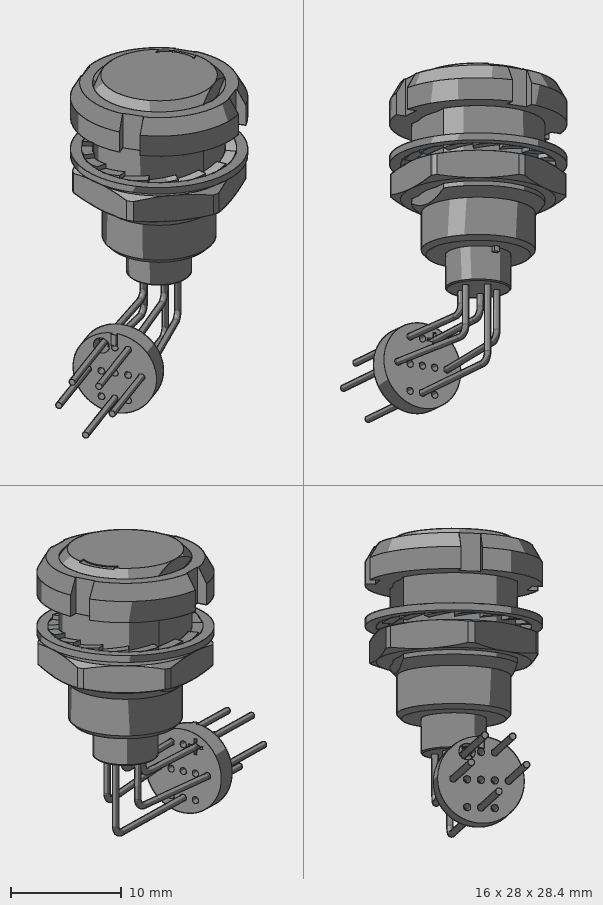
import cadquery as cq
import math


TOTAL_HEIGHT = 28.35
TOTAL_LENGTH = 28.0
MAX_DIA = 16.0

THREAD_DIA = 12.02
THREAD_MINOR_DIA = 11.0
FLAT_WIDTH = 10.5
TOP_CHAMFER = (THREAD_DIA - FLAT_WIDTH) / 2
THREAD_END_Z = -11.7
BODY_DIA = 10.3
BODY_END_Z = -16.5
BODY_CHAMFER = 0.43
SOCKET_DIA = 5.9
SOCKET_END_Z = -19.72
SOCKET_CHAMFER = 0.1
TOP_NOTCH_WIDTH = 3.6
TOP_NOTCH_RADIUS = 3.03
TOP_NOTCH_INNER_Y = 4.93
TOP_NOTCH_DEPTH = 0.1
SOCKET_KEY_REACH = 3.4
SOCKET_KEY_HEIGHT = 0.5
KEY_WIDTH = 0.5

RING_TOP_Z = -TOP_CHAMFER
RING_BOTTOM_Z = -4.22
RING_TOP_DIA = 14.35
RING_CHAMFER_HEIGHT = 1.45
RING_SLOT_WIDTH = 1.98
RING_SLOT_FLOOR_RADIUS = 7.0

WASHER_TOP_Z = -7.37
WASHER_THICKNESS = 0.65
TOOTH_OUTER_DIA = 14.0
TOOTH_COUNT = 16
TOOTH_RISE = 0.213

NUT_TOP_Z = -8.7
NUT_BOTTOM_Z = -11.28
NUT_ACROSS_FLATS = 14.0
NUT_CORNER_DIA = 15.8
NUT_CHAMFER_DROP = 0.3

DISC_DIA = 8.0
DISC_BACK_Y = -10.12
DISC_THICKNESS = 1.93
DISC_CENTRE_Z = DISC_DIA / 2 - TOTAL_HEIGHT
HOLE_DIA = 0.65
HOLE_PITCH_X = 1.28
HOLE_PITCH_Z = 2.55
DISC_KEY_HEIGHT = 0.3
MARK_DIA = 1.5
MARK_FLOOR = 0.5
MARK_SLOT_WIDTH = 0.28

CONTACT_DIA = 0.6
CONTACT_CIRCLE_RADIUS = 1.7
CONTACT_COUNT = 5
BEND_RADIUS = 0.9
CONTACT_STRAIGHT_Y = DISC_BACK_Y + 0.23
CONTACT_TIP_Y = MAX_DIA / 2 - TOTAL_LENGTH


def cylinder(diameter, top_z, bottom_z):
    """Cylinder on the connector axis."""
    return cq.Workplane("XY").workplane(offset=bottom_z).circle(diameter / 2).extrude(top_z - bottom_z)


def turned(points):
    """Solid of revolution about Z from (radius, z) points."""
    return cq.Workplane("XZ").polyline(points).close().revolve(360, (0, 0), (0, 1))


def make_envelope():
    """Threaded part of the housing with its two flats; the nuts fit around it."""
    radius = THREAD_DIA / 2
    body_radius = BODY_DIA / 2
    cone_end_z = THREAD_END_Z - (radius - body_radius)
    profile = turned([
        (0, 0),
        (radius - TOP_CHAMFER, 0),
        (radius, -TOP_CHAMFER),
        (radius, THREAD_END_Z),
        (body_radius, cone_end_z),
        (0, cone_end_z),
    ])
    flats = cq.Workplane("XY").box(FLAT_WIDTH, 2 * THREAD_DIA, 2 * TOTAL_HEIGHT)
    return profile.intersect(flats)


def make_top_notch():
    """Shallow recess at the +Y edge of the top face, with a curved inner side."""
    arc_centre_y = TOP_NOTCH_INNER_Y - TOP_NOTCH_RADIUS
    block = (
        cq.Workplane("XY").center(0, arc_centre_y + THREAD_DIA / 2)
        .rect(TOP_NOTCH_WIDTH, THREAD_DIA).extrude(-TOP_NOTCH_DEPTH)
    )
    core = cq.Workplane("XY").center(0, arc_centre_y).circle(TOP_NOTCH_RADIUS).extrude(-TOP_NOTCH_DEPTH)
    return block.cut(core)


def make_contact(start, hole):
    """Bent round contact from `start` (x, y) under the socket to the guide disc hole at `hole` (x, z)."""
    start_x, start_y = start
    hole_x, hole_z = hole
    run_x = hole_x - start_x
    run_y = CONTACT_STRAIGHT_Y - start_y
    run = math.hypot(run_x, run_y)
    heading = cq.Vector(run_x / run, run_y / run, 0)
    down = cq.Vector(0, 0, -1)
    corner = cq.Vector(start_x, start_y, hole_z)
    bend_start = corner - down * BEND_RADIUS
    bend_end = corner + heading * BEND_RADIUS
    bend_middle = corner + (heading - down) * (BEND_RADIUS * (1 - math.sqrt(0.5)))
    kink = cq.Vector(hole_x, CONTACT_STRAIGHT_Y, hole_z)
    tip = cq.Vector(hole_x, CONTACT_TIP_Y, hole_z)
    path = cq.Wire.assembleEdges([
        cq.Edge.makeLine(cq.Vector(start_x, start_y, SOCKET_END_Z), bend_start),
        cq.Edge.makeThreePointArc(bend_start, bend_middle, bend_end),
        cq.Edge.makeLine(bend_end, kink),
        cq.Edge.makeLine(kink, tip),
    ])
    return (
        cq.Workplane("XY", origin=(start_x, start_y, SOCKET_END_Z))
        .circle(CONTACT_DIA / 2).sweep(cq.Workplane(path), transition="right")
    )


def contact_holes():
    """Guide disc hole (x, z) of each contact, anticlockwise from the +Y contact."""
    upper_z = DISC_CENTRE_Z + HOLE_PITCH_Z
    lower_z = DISC_CENTRE_Z - HOLE_PITCH_Z
    return [
        (0, lower_z),
        (-2 * HOLE_PITCH_X, DISC_CENTRE_Z),
        (-HOLE_PITCH_X, upper_z),
        (HOLE_PITCH_X, upper_z),
        (2 * HOLE_PITCH_X, DISC_CENTRE_Z),
    ]


def make_housing(envelope):
    """Housing with its socket and the contacts that are fixed in it."""
    body = cylinder(BODY_DIA, THREAD_END_Z, BODY_END_Z).faces("<Z").chamfer(BODY_CHAMFER)
    socket = cylinder(SOCKET_DIA, BODY_END_Z, SOCKET_END_Z).faces("<Z").chamfer(SOCKET_CHAMFER)
    key = (
        cq.Workplane("XY").workplane(offset=BODY_END_Z)
        .center(0, SOCKET_KEY_REACH / 2).rect(KEY_WIDTH, SOCKET_KEY_REACH).extrude(-SOCKET_KEY_HEIGHT)
    )
    housing = envelope.cut(make_top_notch()).union(body).union(socket).union(key)
    for index, hole in enumerate(contact_holes()):
        angle = math.pi / 2 + index * 2 * math.pi / CONTACT_COUNT
        start = (CONTACT_CIRCLE_RADIUS * math.cos(angle), CONTACT_CIRCLE_RADIUS * math.sin(angle))
        housing = housing.union(make_contact(start, hole))
    return housing


def make_ring_nut(envelope):
    """Round nut with a conical top edge and four wrench slots; its thread fills that of the housing."""
    minor_radius = THREAD_MINOR_DIA / 2
    thread_depth = THREAD_DIA / 2 - minor_radius
    ring = turned([
        (THREAD_DIA / 2, RING_TOP_Z),
        (RING_TOP_DIA / 2, RING_TOP_Z),
        (MAX_DIA / 2, RING_TOP_Z - RING_CHAMFER_HEIGHT),
        (MAX_DIA / 2, RING_BOTTOM_Z),
        (minor_radius, RING_BOTTOM_Z),
        (minor_radius, RING_TOP_Z - thread_depth),
    ])
    slot = (
        cq.Workplane("XY").workplane(offset=RING_BOTTOM_Z)
        .center(RING_SLOT_FLOOR_RADIUS + MAX_DIA / 2, 0)
        .rect(MAX_DIA, RING_SLOT_WIDTH).extrude(RING_TOP_Z - RING_BOTTOM_Z)
    )
    for quarter in range(4):
        ring = ring.cut(slot.rotate((0, 0, 0), (0, 0, 1), 90 * quarter))
    return ring.cut(envelope)


def make_tooth():
    """Washer tooth at +X: a tilted plate that rises anticlockwise, narrowing towards the axis."""
    half = WASHER_THICKNESS / 2
    slope = math.tan(math.pi / TOOTH_COUNT)

    def section(radius):
        side = radius * slope
        points = [
            (-side, -half - TOOTH_RISE),
            (side, -half + TOOTH_RISE),
            (side, half + TOOTH_RISE),
            (-side, half - TOOTH_RISE),
        ]
        return cq.Wire.makePolygon([cq.Vector(radius, y, z) for y, z in points], close=True)

    return cq.Workplane(cq.Solid.makeLoft([section(THREAD_DIA / 4), section(MAX_DIA / 2)], True))


def make_lock_washer():
    """Flat ring with sawtooth teeth along its inner edge."""
    half = WASHER_THICKNESS / 2
    middle_z = WASHER_TOP_Z - half
    tooth_top = half + TOOTH_RISE
    tooth_zone = cylinder(TOOTH_OUTER_DIA, tooth_top, -tooth_top).cut(
        cylinder(THREAD_DIA, tooth_top, -tooth_top)
    )
    tooth = make_tooth().intersect(tooth_zone)
    washer = cylinder(MAX_DIA, half, -half).cut(cylinder(TOOTH_OUTER_DIA, half, -half))
    for index in range(TOOTH_COUNT):
        angle = 360 * index / TOOTH_COUNT
        washer = washer.union(tooth.rotate((0, 0, 0), (0, 0, 1), angle))
    return washer.translate((0, 0, middle_z))


def make_hex_nut(envelope):
    """Hex nut with turned corners, chamfered on both faces; its thread fills that of the housing."""
    hexagon = (
        cq.Workplane("XY").workplane(offset=NUT_BOTTOM_Z)
        .polygon(6, NUT_ACROSS_FLATS / math.cos(math.pi / 6)).extrude(NUT_TOP_Z - NUT_BOTTOM_Z)
        .rotate((0, 0, 0), (0, 0, 1), 30)
    )
    corners = turned([
        (THREAD_MINOR_DIA / 2, NUT_TOP_Z),
        (NUT_ACROSS_FLATS / 2, NUT_TOP_Z),
        (NUT_CORNER_DIA / 2, NUT_TOP_Z - NUT_CHAMFER_DROP),
        (NUT_CORNER_DIA / 2, NUT_BOTTOM_Z + NUT_CHAMFER_DROP),
        (NUT_ACROSS_FLATS / 2, NUT_BOTTOM_Z),
        (THREAD_MINOR_DIA / 2, NUT_BOTTOM_Z),
    ])
    return hexagon.intersect(corners).cut(envelope)


def make_guide_disc():
    """Disc that spaces the contacts, with a key and a marked hole for the first contact."""
    front_y = DISC_BACK_Y - DISC_THICKNESS
    back = cq.Workplane("XZ", origin=(0, DISC_BACK_Y, DISC_CENTRE_Z))
    front = cq.Workplane("XZ", origin=(0, front_y, DISC_CENTRE_Z))
    disc = back.circle(DISC_DIA / 2).extrude(DISC_THICKNESS)

    key_bottom = HOLE_PITCH_Z + HOLE_DIA / 2
    key_length = DISC_DIA / 2 - key_bottom
    key = front.center(0, key_bottom + key_length / 2).rect(KEY_WIDTH, key_length).extrude(DISC_KEY_HEIGHT)
    rim = back.circle(DISC_DIA / 2).extrude(DISC_THICKNESS + DISC_KEY_HEIGHT)
    disc = disc.union(key.intersect(rim))

    row_positions = [
        (column * HOLE_PITCH_X, row * HOLE_PITCH_Z)
        for row, last_column in ((-1, 1), (0, 2), (1, 1))
        for column in range(-last_column, last_column + 1)
    ]
    disc = disc.cut(back.pushPoints(row_positions).circle(HOLE_DIA / 2).extrude(DISC_THICKNESS))

    mark = (-HOLE_PITCH_X, HOLE_PITCH_Z)
    recess = front.center(*mark).circle(MARK_DIA / 2).extrude(MARK_FLOOR - DISC_THICKNESS)
    tips = back.center(*mark).circle(MARK_DIA / 2).extrude(DISC_THICKNESS)
    cross = (
        back.center(*mark).rect(MARK_DIA, MARK_SLOT_WIDTH).extrude(DISC_THICKNESS)
        .union(back.center(*mark).rect(MARK_SLOT_WIDTH, MARK_DIA).extrude(DISC_THICKNESS))
        .intersect(tips)
    )
    return disc.cut(recess).cut(cross)


threaded_envelope = make_envelope()
housing = make_housing(threaded_envelope)
ring_nut = make_ring_nut(threaded_envelope)
lock_washer = make_lock_washer()
hex_nut = make_hex_nut(threaded_envelope)
guide_disc = make_guide_disc()

result = cq.Compound.makeCompound([
    housing.solids().val(),
    ring_nut.solids().val(),
    lock_washer.solids().val(),
    hex_nut.solids().val(),
    guide_disc.solids().val(),
])